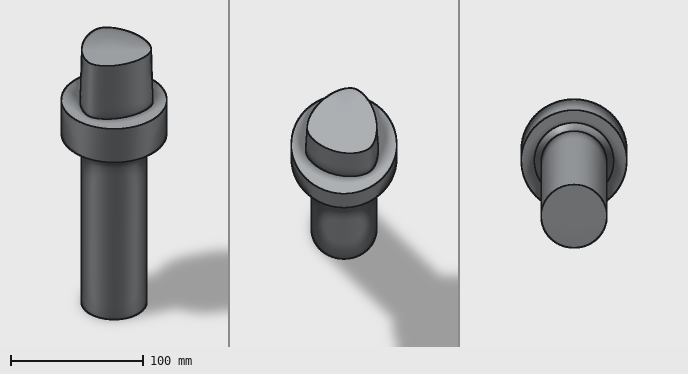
import cadquery as cq
import math

total_height = 231.0
shank_diameter = 50.0
flange_diameter = 80.0
flange_height = 30.5
collar_height = 5.0

polygon_height = 47.5
polygon_base_width = 55.0
polygon_top_width = 52.7
lobe_eccentricity = 2.0
curve_points = 36

flange_top = total_height - polygon_height
flange_bottom = flange_top - flange_height
shank_top = flange_bottom - collar_height
shank_radius = shank_diameter / 2
collar_radius = shank_radius + collar_height
flange_radius = flange_diameter / 2


def make_round_body():
    """Shank, conical collar and flange as one turned profile."""
    return (
        cq.Workplane("XZ")
        .moveTo(0, 0)
        .lineTo(shank_radius, 0)
        .lineTo(shank_radius, shank_top)
        .lineTo(collar_radius, flange_bottom)
        .lineTo(flange_radius, flange_bottom)
        .lineTo(flange_radius, flange_top)
        .lineTo(0, flange_top)
        .close()
        .revolve(360, (0, 0, 0), (0, 1, 0))
    )


def polygon_wire(width, height):
    """Constant-width trochoid with three lobes, one of them pointing to -Y."""
    mean_radius = width / 2

    def point(index):
        angle = 2 * math.pi * index / curve_points
        support = mean_radius + lobe_eccentricity * math.sin(3 * angle)
        slope = 3 * lobe_eccentricity * math.cos(3 * angle)
        x = support * math.cos(angle) - slope * math.sin(angle)
        y = support * math.sin(angle) + slope * math.cos(angle)
        return cq.Vector(x, y, height)

    points = [point(index) for index in range(curve_points)]
    return cq.Wire.assembleEdges([cq.Edge.makeSpline(points, periodic=True)])


def make_polygon_shank():
    base = polygon_wire(polygon_base_width, flange_top)
    top = polygon_wire(polygon_top_width, total_height)
    return cq.Workplane(obj=cq.Solid.makeLoft([base, top], True))


result = make_round_body().union(make_polygon_shank())